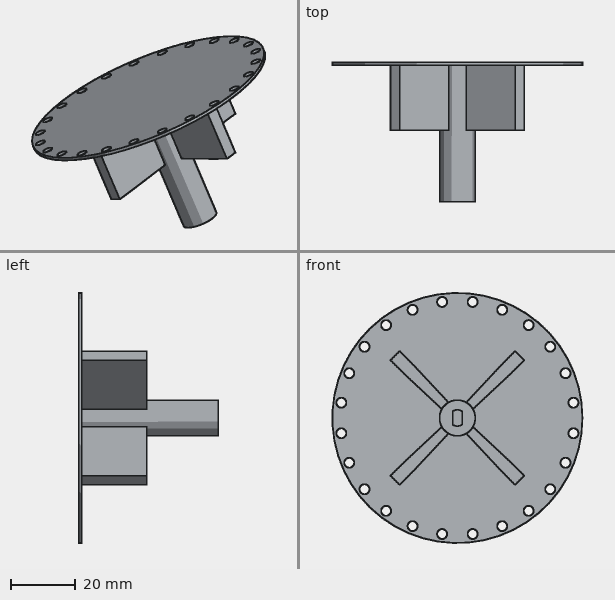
import cadquery as cq
import math

disc_diameter = 77.0
disc_thickness = 1.0

rim_hole_count = 24
rim_hole_diameter = 3.0
rim_hole_circle_radius = 36.0
rim_hole_pitch = 360.0 / rim_hole_count

hub_diameter = 11.0
hub_length = 42.0

socket_diameter = 5.0
socket_width = 3.0
socket_depth = 10.0

fin_count = 4
fin_first_angle = 45.0
fin_height = 20.0
fin_root_width = 2.9
fin_crease_width = 3.9
fin_tip_width = 4.0
fin_root_radius = hub_diameter / 2
fin_crease_radius = 20.6
fin_tip_radius = 27.1


def make_disc():
    """Thin disc with evenly spaced holes, none of them on the X or Z axis."""
    disc = cq.Workplane("XZ").circle(disc_diameter / 2).extrude(-disc_thickness)
    holes = (
        cq.Workplane("XZ")
        .polarArray(rim_hole_circle_radius, rim_hole_pitch / 2, 360, rim_hole_count)
        .circle(rim_hole_diameter / 2)
        .extrude(-disc_thickness)
    )
    return disc.cut(holes)


def make_hub():
    return cq.Workplane("XZ").circle(hub_diameter / 2).extrude(hub_length)


def make_fin(angle):
    """One fin, running from the hub axis outward at the given angle from +X."""
    root = fin_root_width / 2
    crease = fin_crease_width / 2
    tip = fin_tip_width / 2
    outline = [
        (0, -root),
        (fin_root_radius, -root),
        (fin_crease_radius, -crease),
        (fin_tip_radius, -tip),
        (fin_tip_radius, tip),
        (fin_crease_radius, crease),
        (fin_root_radius, root),
        (0, root),
    ]
    fin = cq.Workplane("XZ").polyline(outline).close().extrude(fin_height)
    return fin.rotate((0, 0, 0), (0, 1, 0), angle)


def make_socket():
    """Double-D cutter: flat sides at +-X, round ends at +-Z."""
    half_width = socket_width / 2
    end_radius = socket_diameter / 2
    flat_end = math.sqrt(end_radius**2 - half_width**2)
    return (
        cq.Workplane("XZ", origin=(0, -hub_length, 0))
        .moveTo(-half_width, -flat_end)
        .threePointArc((0, -end_radius), (half_width, -flat_end))
        .lineTo(half_width, flat_end)
        .threePointArc((0, end_radius), (-half_width, flat_end))
        .close()
        .extrude(-socket_depth)
    )


result = make_disc().union(make_hub())
for fin_index in range(fin_count):
    fin_angle = fin_first_angle + fin_index * 360.0 / fin_count
    result = result.union(make_fin(fin_angle))
result = result.cut(make_socket())